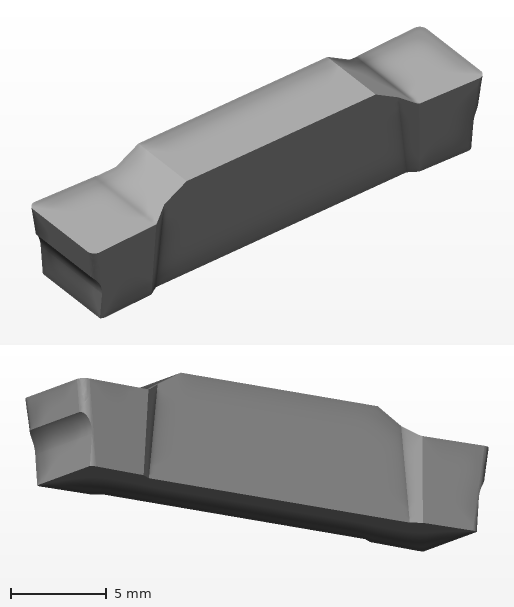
import cadquery as cq
import math

length = 25.87
width = 5.55
height = 5.98

head_height = 4.6
corner_radius = 0.47
end_relief = math.tan(math.radians(7.0))
side_relief = math.tan(math.radians(2.6))
side_taper = math.tan(math.radians(2.2))

body_width = 4.15
shoulder_foot = 8.23
shoulder_lean = math.tan(math.radians(6.1))
shoulder_slope = math.tan(math.radians(58.0))

crown_length = 12.42
ramp_angle = 30.0
ramp_blend_radius = 0.47

heel_length = 24.4
heel_height = 1.7
undercut_top = 2.87

half_length = length / 2
half_body = body_width / 2

sharp_half_width = width / 2 + corner_radius * side_taper


def outline(z):
    """Closed plan outline at height z, before the end corners are rounded."""
    drop = head_height - z
    end_y = half_length - drop * end_relief
    side_at_tip = sharp_half_width - drop * side_relief
    end_x = side_at_tip - (half_length - end_y) * side_taper

    body_y = shoulder_foot - z * shoulder_lean
    overhang = side_at_tip - (half_length - body_y) * side_taper - half_body
    shoulder_x = half_body + overhang / (1 - shoulder_slope * side_taper)
    shoulder_y = body_y + (shoulder_x - half_body) * shoulder_slope

    quarter = [(half_body, body_y), (shoulder_x, shoulder_y), (end_x, end_y)]
    back_right = quarter
    back_left = [(-x, y) for x, y in reversed(quarter)]
    front_left = [(-x, -y) for x, y in quarter]
    front_right = [(x, -y) for x, y in reversed(quarter)]
    return back_right + back_left + front_left + front_right


def make_blank():
    """Relieved block: straight faces between the bottom and top outlines, end corners rounded."""
    block = (
        cq.Workplane("XY").polyline(outline(0)).close()
        .workplane(offset=height).polyline(outline(height)).close()
        .loft(ruled=True)
    )
    for end in (-1, 1):
        for side in (-1, 1):
            corner = cq.selectors.NearestToPointSelector(
                (side * width / 2, end * half_length, height / 2)
            )
            block = block.edges(corner).fillet(corner_radius)
    return block


def make_side_profile():
    """Full-width envelope with the crown, ramps, flat heads and undercuts; its ends are not relieved."""
    ramp = math.radians(ramp_angle)
    crown_y = crown_length / 2
    ramp_foot = crown_y + (height - head_height) / math.tan(ramp)
    blend_reach = ramp_blend_radius * math.tan(ramp / 2)
    blend_top_y = ramp_foot - blend_reach * math.cos(ramp)
    blend_top_z = head_height + blend_reach * math.sin(ramp)

    heel_y = heel_length / 2
    lip_y = half_length - (head_height - undercut_top) * end_relief
    undercut_depth = lip_y - heel_y
    undercut_rise = undercut_top - heel_height
    undercut_radius = (undercut_rise**2 + undercut_depth**2) / (2 * undercut_depth)

    half = (
        cq.Workplane("YZ", origin=(-width / 2, 0, 0))
        .moveTo(0, 0)
        .lineTo(heel_y, 0)
        .lineTo(heel_y, heel_height)
        .radiusArc((lip_y, undercut_top), undercut_radius)
        .lineTo(half_length, undercut_top)
        .lineTo(half_length, head_height)
        .lineTo(ramp_foot + blend_reach, head_height)
        .radiusArc((blend_top_y, blend_top_z), ramp_blend_radius)
        .lineTo(crown_y, height)
        .lineTo(0, height)
        .close()
        .extrude(width)
    )
    return half.union(half.mirror("XZ"))


result = make_blank().intersect(make_side_profile())